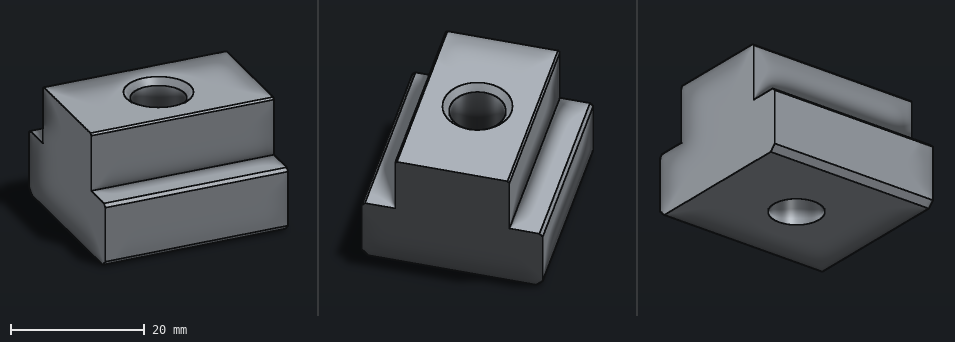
import cadquery as cq

base_width = 28.0
length = 30.0
height = 20.0

base_height = 10.5
neck_width = 17.7
bottom_chamfer = 1.0
shoulder_chamfer = 0.5
neck_chamfer = 0.3

hole_diameter = 8.5
countersink_diameter = 10.5
countersink_angle = 90.0


def make_body():
    """Extrude the T section along Y, centred in X and Y with its base on Z = 0."""
    half_base = base_width / 2
    half_neck = neck_width / 2
    right_half = [
        (half_base - bottom_chamfer, 0),
        (half_base, bottom_chamfer),
        (half_base, base_height - shoulder_chamfer),
        (half_base - shoulder_chamfer, base_height),
        (half_neck, base_height),
        (half_neck, height - neck_chamfer),
        (half_neck - neck_chamfer, height),
    ]
    left_half = [(-x, z) for x, z in reversed(right_half)]
    section = cq.Workplane("XZ").polyline(right_half + left_half).close()
    return section.extrude(length / 2, both=True)


def cut_countersunk_hole(body):
    """Cut the through hole, countersunk from the top of the neck."""
    return body.faces(">Z").workplane(origin=(0, 0, height)).cskHole(
        hole_diameter, countersink_diameter, countersink_angle
    )


result = cut_countersunk_hole(make_body())